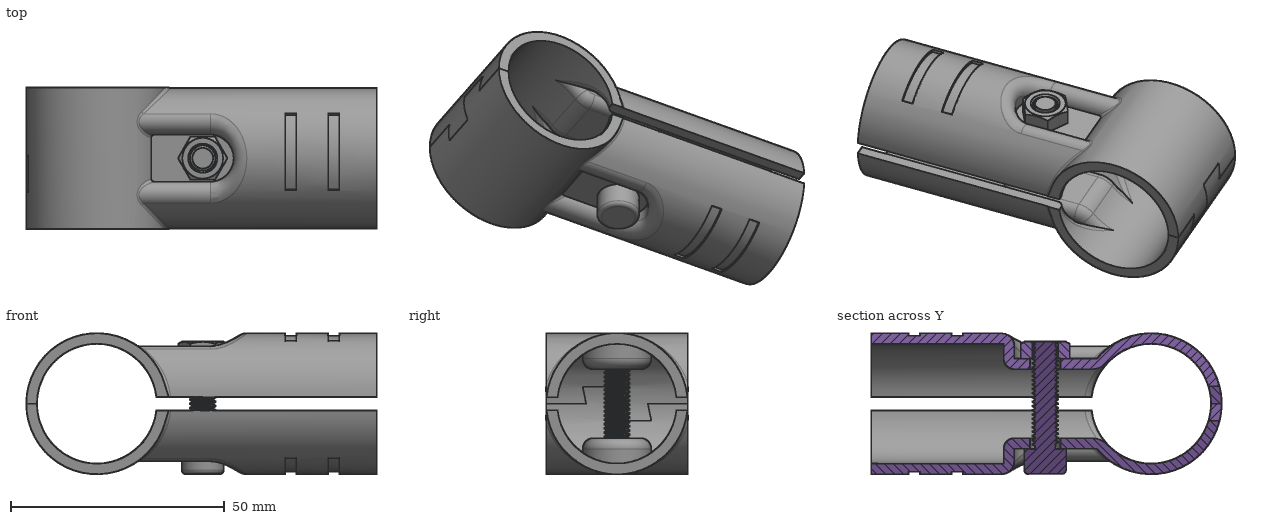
import cadquery as cq
import math


total_length = 82
outer_diameter = 33.05
outer_radius = outer_diameter / 2
wall = 2.55
half_gap = 1.55
ring_width = 33.1
bore_radius = outer_radius - wall
arm_end = total_length - outer_radius

bolt_x = 24.8
bolt_hole_diameter = 7.05
seat_z = 10.6
recess_half_width = 5.5
recess_end_x = 26.5
recess_lip_radius = 3.0
mound_half_width = recess_half_width + wall
mound_face_z = seat_z - wall
mound_base_z = 13.5
mound_bore_radius = 5.0

outside_blend = 0.7
inside_blend = 1.6

tab_height = 4.0
tab_root_width = 7.2
tab_flare = 0.8
tab_corner_radius = 0.3

groove_starts = (44.0, 54.1)
groove_length = 2.6
groove_depth = 0.6
groove_angle_positive_y = 39.3
groove_angle_negative_y = 27.0

thread_diameter = 6.0
thread_pitch = 1.0
thread_depth = 0.6
thread_root_width = 0.9
thread_crest_width = 0.2
thread_root_overlap = 0.04
thread_end_gap = 1.1
core_radius = thread_diameter / 2 - thread_depth
head_diameter = 9.8
head_height = 5.9
head_edge_radius = 1.0
shank_length = 25.2
nut_across_flats = 10.0
nut_height = 4.0
nut_face_diameter = 9.5
nut_chamfer_angle = 30
nut_countersink = 0.4

tolerance = 0.04


def cylinder_x(radius, start, end):
    return cq.Workplane("YZ").workplane(offset=start).circle(radius).extrude(end - start)


def cylinder_y(radius, length):
    return cq.Workplane("XZ").circle(radius).extrude(length / 2, both=True)


def cylinder_z(x, radius, low, high):
    return cq.Workplane("XY").workplane(offset=low).center(x, 0).circle(radius).extrude(high - low)


def round_ended_block(half_width, low, high):
    """Block that runs from the ring's axis to a round end past the bolt."""
    return (
        cq.Workplane("XY")
        .workplane(offset=low)
        .moveTo(0, -half_width)
        .lineTo(recess_end_x, -half_width)
        .threePointArc((recess_end_x + half_width, 0), (recess_end_x, half_width))
        .lineTo(0, half_width)
        .close()
        .extrude(high - low)
    )


def fillet_where(body, is_wanted, radius):
    """Fillet the edges of a body for which is_wanted(middle point of the edge) holds."""
    wanted = [edge for edge in body.edges().vals() if is_wanted(edge.positionAt(0.5))]
    return body.newObject([body.val().fillet(radius, wanted)])


def is_on_ring(point, radius):
    on_upper_arm_side = point.x > 0 and point.z > 0
    return on_upper_arm_side and abs(math.hypot(point.x, point.z) - radius) < tolerance


def is_on_arm(point, radius):
    return abs(math.hypot(point.y, point.z) - radius) < tolerance



def recessed_arm():
    """Solid arm with the recess, whose wall rounds over into the arm's surface."""
    deep_z = seat_z - recess_lip_radius
    arm = cylinder_x(outer_radius, 0, arm_end)
    arm = arm.cut(round_ended_block(recess_half_width, deep_z, 2 * outer_radius))

    def is_lip(point):
        inside_length = 0 < point.x < arm_end
        beside_recess = recess_half_width - tolerance < abs(point.y) or point.x > recess_end_x
        return inside_length and beside_recess and point.z > seat_z and is_on_arm(point, outer_radius)

    arm = fillet_where(arm, is_lip, recess_lip_radius)
    overlap = recess_lip_radius / 2
    return arm.union(round_ended_block(recess_half_width + overlap, deep_z - overlap, seat_z))


def upper_half_space():
    """Space above the slit on the arm side and above the dovetail joint on the closed side."""
    span = 2 * outer_radius
    tab_tip = tab_root_width + tab_flare
    above_joint = (
        cq.Workplane("YZ")
        .moveTo(-span, 0)
        .lineTo(-tab_root_width, 0)
        .lineTo(-tab_tip, tab_height)
        .lineTo(tab_flare, tab_height)
        .lineTo(-tab_flare, -tab_height)
        .lineTo(tab_tip, -tab_height)
        .lineTo(tab_root_width, 0)
        .lineTo(span, 0)
        .lineTo(span, span)
        .lineTo(-span, span)
        .close()
        .extrude(-span)
    )

    def is_tab_corner(point):
        mid_depth = -span < point.x < 0
        at_corner = min(abs(abs(point.y) - tab_flare), abs(abs(point.y) - tab_tip)) < tolerance
        return mid_depth and at_corner and abs(abs(point.z) - tab_height) < tolerance

    above_joint = fillet_where(above_joint, is_tab_corner, tab_corner_radius)
    above_slit = cq.Workplane("XY").box(span + arm_end, 2 * span, span, centered=(False, True, False))
    return above_joint.union(above_slit.translate((0, 0, half_gap)))


def outside_body():
    """Outer shape of the upper half, not yet hollow."""
    long_ring = cylinder_y(outer_radius, 1.5 * ring_width)
    body = recessed_arm().union(long_ring).intersect(upper_half_space())

    def is_junction(point):
        beside_recess = recess_half_width < abs(point.y) < outer_radius - tolerance
        return beside_recess and is_on_ring(point, outer_radius)

    body = fillet_where(body, is_junction, outside_blend)
    return body.intersect(cq.Workplane("XY").box(3 * arm_end, ring_width, 3 * outer_radius))


def inner_mound():
    """Material left inside the arm around the seat, rounded on its exposed edges."""
    mound = round_ended_block(mound_half_width, mound_face_z, mound_base_z)
    mound = mound.cut(cylinder_y(bore_radius, ring_width))
    mound = mound.faces("<Z").edges("<X").fillet(mound_bore_radius)

    def is_exposed_side(point):
        on_side = abs(abs(point.y) - mound_half_width) < tolerance
        on_round_end = point.x > recess_end_x + tolerance
        on_face = abs(point.z - mound_face_z) < tolerance
        ahead_of_end = point.x < recess_end_x - tolerance and point.z < mound_base_z - tolerance
        return (on_side and ahead_of_end) or (on_round_end and on_face)

    mound = fillet_where(mound, is_exposed_side, wall)
    return mound.union(round_ended_block(mound_half_width, mound_base_z, outer_radius))


def inside_cavity():
    """Ring bore and arm cavity, with their meeting edges rounded on both sides of the mound."""
    bore = cylinder_y(bore_radius, ring_width)
    arm_cavity = cylinder_x(bore_radius, 0, arm_end)
    side_space = cq.Workplane("XY").box(arm_end, ring_width, outer_radius, centered=False)
    side_space = side_space.translate((0, recess_half_width, half_gap / 2))

    def is_junction(point):
        return is_on_ring(point, bore_radius) and is_on_arm(point, bore_radius)

    side = fillet_where(arm_cavity.union(bore).intersect(side_space), is_junction, inside_blend)
    return arm_cavity.union(side).union(side.mirror("XZ")).cut(inner_mound()).union(bore)


def marker_groove(start):
    """Shallow groove that runs part of the way around the arm."""
    return (
        cq.Workplane("XZ")
        .moveTo(start, outer_radius - groove_depth)
        .rect(groove_length, 2 * groove_depth, centered=False)
        .revolve(groove_angle_positive_y + groove_angle_negative_y, (0, 0, 0), (1, 0, 0))
        .rotate((0, 0, 0), (1, 0, 0), -groove_angle_positive_y)
    )


def clamp_half():
    half = outside_body().cut(inside_cavity())
    half = half.cut(cylinder_z(bolt_x, bolt_hole_diameter / 2, half_gap, outer_radius))
    for start in groove_starts:
        half = half.cut(marker_groove(start))
    return half



def thread_ridge():
    """Helical ridge on the shank's core, clear of the head and of the tip; the core's base is at z = 0."""
    foot_radius = core_radius - thread_root_overlap
    crest_radius = thread_diameter / 2
    half_root = thread_root_width / 2
    half_crest = thread_crest_width / 2
    helix = cq.Wire.makeHelix(thread_pitch, shank_length - 2 * thread_end_gap, core_radius)
    profile = (
        cq.Workplane("XZ")
        .moveTo(foot_radius, -half_root)
        .lineTo(crest_radius, -half_crest)
        .lineTo(crest_radius, half_crest)
        .lineTo(foot_radius, half_root)
        .close()
    )
    ridge = profile.sweep(cq.Workplane(helix), isFrenet=True)
    return ridge.translate((0, 0, thread_end_gap))


def bolt():
    """Round-headed bolt, its head on the lower seat and its shank threaded."""
    head = cylinder_z(0, head_diameter / 2, -head_height, 0)
    head = head.faces("<Z").edges().fillet(head_edge_radius)
    shank = cylinder_z(0, core_radius, 0, shank_length).union(thread_ridge())
    return head.union(shank).translate((bolt_x, 0, -seat_z))


def nut():
    """Hexagon nut on the upper seat, with a chamfered top face and a countersunk hole."""
    corner_diameter = nut_across_flats / math.cos(math.pi / 6)
    corner_radius = corner_diameter / 2
    face_radius = nut_face_diameter / 2
    chamfer_drop = (corner_radius - face_radius) * math.tan(math.radians(nut_chamfer_angle))
    hexagon = cq.Workplane("XY").polygon(6, corner_diameter).extrude(nut_height)
    envelope = (
        cq.Workplane("XZ")
        .lineTo(corner_radius, 0)
        .lineTo(corner_radius, nut_height - chamfer_drop)
        .lineTo(face_radius, nut_height)
        .lineTo(0, nut_height)
        .close()
        .revolve(360, (0, 0, 0), (0, 1, 0))
    )
    body = hexagon.intersect(envelope)
    body = body.faces(">Z").workplane().cskHole(
        thread_diameter, thread_diameter + 2 * nut_countersink, 90)
    return body.translate((bolt_x, 0, seat_z))



upper_half = clamp_half()
halves = [upper_half.rotate((0, 0, 0), (1, 0, 0), turn).val() for turn in (0, 180)]
result = cq.Compound.makeCompound([*halves, bolt().val(), nut().val()])